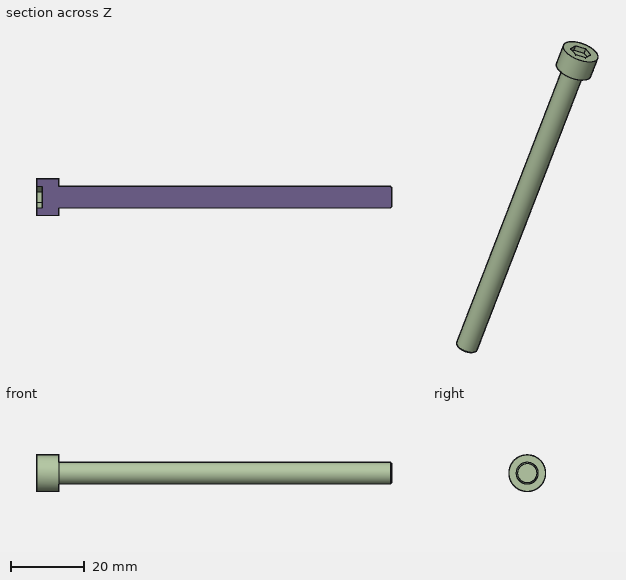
import cadquery as cq
import math

total_length = 96.0
head_diameter = 10.0
head_length = 6.0
shank_diameter = 6.0
tip_chamfer = 0.4
socket_across_flats = 5.0
socket_depth = 1.4

head_face_x = -total_length / 2
tip_x = total_length / 2

head = cq.Workplane("YZ", origin=(head_face_x, 0, 0)).circle(head_diameter / 2).extrude(head_length)

shank = (
    cq.Workplane("YZ", origin=(head_face_x, 0, 0))
    .circle(shank_diameter / 2)
    .extrude(tip_x - head_face_x)
    .faces(">X")
    .chamfer(tip_chamfer)
)

socket_across_corners = socket_across_flats / math.cos(math.pi / 6)
socket = (
    cq.Workplane("YZ", origin=(head_face_x, 0, 0))
    .polygon(6, socket_across_corners)
    .extrude(socket_depth)
)

result = head.union(shank).cut(socket)